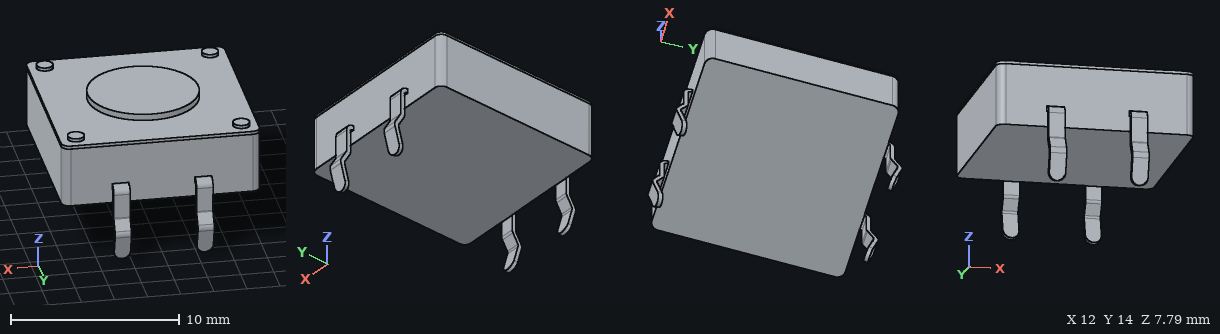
import cadquery as cq
import math

width = 12.0
half_width = width / 2
cover_top = 3.94
cover_thickness = 0.2
base_height = cover_top - cover_thickness
corner_radius = 0.5

button_diameter = 6.69
button_hole_diameter = 6.7
button_rise = 0.39
rivet_diameter = 1.0
rivet_rise = 0.2
rivet_spacing = 10.0

overall_depth = 14.02
lead_width = 1.0
lead_thickness = 0.3
lead_spacing = 5.0
lead_top = 1.25
lead_bottom = -3.46
shank_gap = 0.25
shank_end = -0.76
outward_lean = 30.0
inward_lean = 15.0
bend_radius = 0.35
kink_radius = 0.25


def rounded_slab(bottom, height):
    """Square slab with rounded upright corners."""
    slab = cq.Workplane("XY").workplane(offset=bottom).rect(width, width).extrude(height)
    return slab.edges("|Z").fillet(corner_radius)


def button_post():
    """Round button from the top of the base to above the cover."""
    top_of_base = cq.Workplane("XY").workplane(offset=base_height)
    return top_of_base.circle(button_diameter / 2).extrude(cover_thickness + button_rise)


def rivet_posts():
    """Four small round heads near the corners, from the top of the base to above the cover."""
    top_of_base = cq.Workplane("XY").workplane(offset=base_height)
    centres = top_of_base.rect(rivet_spacing, rivet_spacing, forConstruction=True).vertices()
    return centres.circle(rivet_diameter / 2).extrude(cover_thickness + rivet_rise)


def make_base():
    """Base block that carries the button and the rivet heads."""
    return rounded_slab(0, base_height).union(button_post()).union(rivet_posts())


def make_cover():
    """Plate on the base, with a loose hole for the button and fitting holes for the rivet heads."""
    plate = rounded_slab(base_height, cover_thickness)
    with_button_hole = plate.faces(">Z").workplane().hole(button_hole_diameter)
    return with_button_hole.cut(rivet_posts())


def make_lead():
    """Lead on the +Y side, centred on X = 0, with its root against the base side."""
    out_angle = math.radians(outward_lean)
    in_angle = math.radians(inward_lean)
    half_thickness = lead_thickness / 2
    tip_radius = lead_width / 2

    root_z = lead_top - half_thickness
    shank_y = half_width + shank_gap + half_thickness
    shoulder_start_y = shank_y - bend_radius
    shank_top_z = root_z - bend_radius

    kink_end_y = shank_y + kink_radius * (1 - math.cos(out_angle))
    kink_end_z = shank_end - kink_radius * math.sin(out_angle)

    knee_centre_y = overall_depth / 2 - half_thickness - bend_radius
    knee_start_y = knee_centre_y + bend_radius * math.cos(out_angle)
    knee_start_z = kink_end_z - (knee_start_y - kink_end_y) / math.tan(out_angle)
    knee_centre_z = knee_start_z - bend_radius * math.sin(out_angle)
    knee_end_y = knee_centre_y + bend_radius * math.cos(in_angle)
    knee_end_z = knee_centre_z - bend_radius * math.sin(in_angle)

    tip_z = lead_bottom + tip_radius * math.cos(in_angle) + half_thickness * math.sin(in_angle)
    tip_y = knee_end_y - (knee_end_z - tip_z) * math.tan(in_angle)

    centreline = (
        cq.Workplane("YZ")
        .moveTo(half_width, root_z)
        .lineTo(shoulder_start_y, root_z)
        .tangentArcPoint((shank_y, shank_top_z), relative=False)
        .lineTo(shank_y, shank_end)
        .tangentArcPoint((kink_end_y, kink_end_z), relative=False)
        .lineTo(knee_start_y, knee_start_z)
        .tangentArcPoint((knee_end_y, knee_end_z), relative=False)
        .lineTo(tip_y, tip_z)
    )
    root_plane = cq.Plane(origin=(0, half_width, root_z), xDir=(1, 0, 0), normal=(0, 1, 0))
    strip = cq.Workplane(root_plane).rect(lead_width, lead_thickness).sweep(centreline)

    tip_normal = (0, math.cos(in_angle), -math.sin(in_angle))
    tip_plane = cq.Plane(origin=(0, tip_y, tip_z), xDir=(1, 0, 0), normal=tip_normal)
    round_tip = (
        cq.Workplane(tip_plane)
        .moveTo(tip_radius, 0)
        .threePointArc((0, tip_radius), (-tip_radius, 0))
        .close()
        .extrude(half_thickness, both=True)
    )
    return strip.union(round_tip)


base = make_base()
cover = make_cover()

back_lead = make_lead()
front_lead = back_lead.mirror("XZ")
leads = []
for lead_x in (-lead_spacing / 2, lead_spacing / 2):
    for lead in (back_lead, front_lead):
        leads.append(lead.translate((lead_x, 0, 0)).solids().val())

result = cq.Compound.makeCompound([base.val(), cover.val(), *leads])